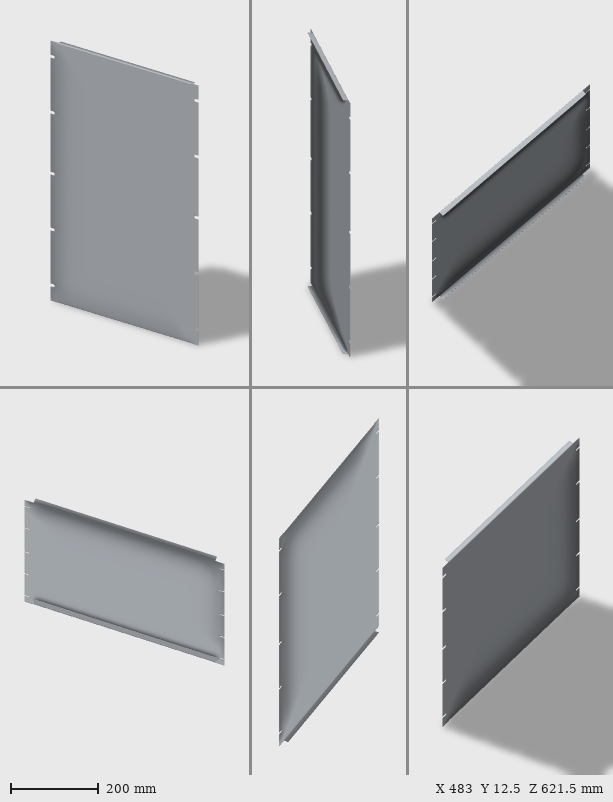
import cadquery as cq

panel_width = 483.0
panel_height = 621.5
thickness = 1.2

flange_length = 439.0
flange_depth = 12.5
bend_inner_radius = 1.2
bend_outer_radius = bend_inner_radius + thickness

slot_width = 7.0
slot_depth = 13.0
slot_end_offset = 37.0
slot_pitch = 133.5

half_width = panel_width / 2
half_height = panel_height / 2
lowest_slot = -half_height + slot_end_offset
highest_slot = half_height - slot_end_offset
slot_heights = [
    lowest_slot,
    lowest_slot + slot_pitch,
    lowest_slot + 2 * slot_pitch,
    highest_slot - slot_pitch,
    highest_slot,
]


def make_plate():
    return cq.Workplane("XY").box(
        panel_width, thickness, panel_height, centered=(True, False, True)
    )


def make_folded_section():
    """Channel section: the plate between its two flanges, with rounded bends."""
    channel = cq.Workplane("XY").box(
        flange_length, flange_depth, panel_height, centered=(True, False, True)
    )
    channel = channel.edges("|X and <Y").fillet(bend_outer_radius)
    cavity = (
        cq.Workplane("XY")
        .box(
            flange_length,
            flange_depth - thickness,
            panel_height - 2 * thickness,
            centered=(True, False, True),
        )
        .translate((0, thickness, 0))
        .edges("|X and <Y")
        .fillet(bend_inner_radius)
    )
    return channel.cut(cavity)


def make_slot(side, height):
    """Round-ended slot cutter; side is -1 for the left edge and 1 for the right."""
    return (
        cq.Workplane("XZ", origin=(side * half_width, 0, height))
        .slot2D(2 * slot_depth, slot_width)
        .extrude(-thickness)
    )


def make_end_tabs():
    """Flat plate ends that stand out beyond the flanges."""
    middle = cq.Workplane("XY").box(
        flange_length, thickness, panel_height, centered=(True, False, True)
    )
    return make_plate().cut(middle)


result = make_end_tabs().union(make_folded_section())
for side in (-1, 1):
    for height in slot_heights:
        result = result.cut(make_slot(side, height))